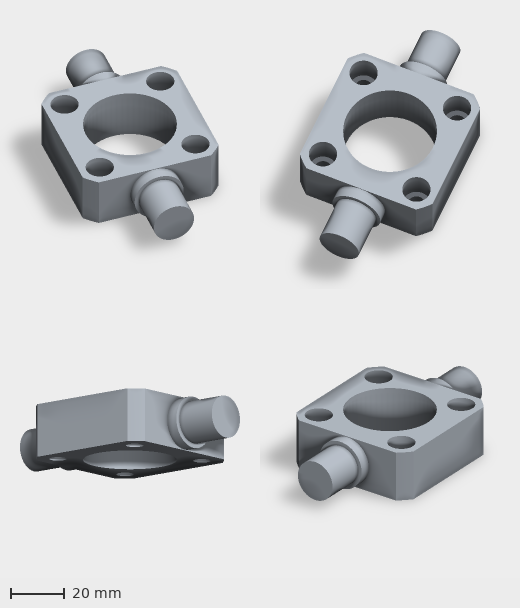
import cadquery as cq

body_width = 54.0
body_height = 20.0
corner_diameter = 70.0
bore_diameter = 35.0

bolt_spacing = 38.0
bolt_hole_diameter = 6.6
counterbore_diameter = 10.5
counterbore_depth = 11.0

trunnion_length = 95.0
trunnion_diameter = 16.0
collar_length = 63.0
collar_diameter = 19.5


def centered_shaft(diameter, length):
    """Cylinder along X, centred on the origin."""
    return cq.Workplane("YZ", origin=(-length / 2, 0, 0)).circle(diameter / 2).extrude(length)


def turned_body():
    """Square block trimmed at its corners by a cylinder along Z."""
    block = cq.Workplane("XY").box(body_width, body_width, body_height)
    envelope = cq.Workplane("XY").cylinder(body_height, corner_diameter / 2)
    return block.intersect(envelope)


trunnions = centered_shaft(trunnion_diameter, trunnion_length)
collars = centered_shaft(collar_diameter, collar_length)
bore = cq.Workplane("XY").cylinder(body_height, bore_diameter / 2)

bolt_holes = (
    cq.Workplane("XY", origin=(0, 0, body_height / 2))
    .rect(bolt_spacing, bolt_spacing, forConstruction=True)
    .vertices()
)
drills = bolt_holes.circle(bolt_hole_diameter / 2).extrude(-body_height)
counterbores = bolt_holes.circle(counterbore_diameter / 2).extrude(-counterbore_depth)

result = turned_body().union(collars).union(trunnions).cut(bore).cut(drills).cut(counterbores)